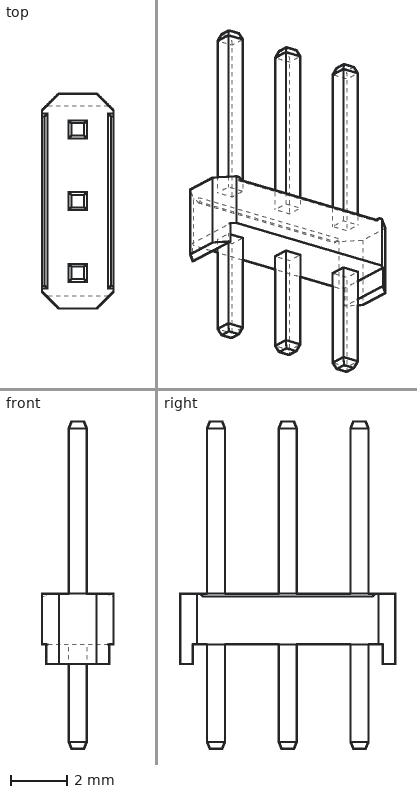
import cadquery as cq


pitch = 2.54
pin_count = 3
pin_width = 0.64
pin_below_body = 3.0
pin_above_body = 6.1
tip_length = 0.25
tip_inset = 0.1

body_width = pitch
body_length = pin_count * pitch
body_height = 2.5
corner_chamfer = 0.6

foot_height = 0.7
foot_length = 0.45

groove_depth = 0.1
groove_floor_width = 0.1
groove_floor_length = 6.0


def make_body():
    """Block with chamfered vertical corners, standing on two end feet."""
    block = (
        cq.Workplane("XY")
        .box(body_width, body_length, body_height, centered=(True, True, False))
        .edges("|Z")
        .chamfer(corner_chamfer)
    )
    foot_gap = body_length - 2 * foot_length
    underside_gap = cq.Workplane("XY").box(
        body_width, foot_gap, foot_height, centered=(True, True, False)
    )
    return block.cut(underside_gap)


def make_edge_groove(side):
    """Cutter for one top-edge groove; side is +1 or -1 along X.

    The cutter is symmetric about the side face, so only its inner half cuts.
    """
    widening = 2 * groove_depth
    floor_width = 2 * groove_floor_width
    return (
        cq.Workplane("XY", origin=(side * body_width / 2, 0, body_height - groove_depth))
        .rect(floor_width, groove_floor_length)
        .workplane(offset=groove_depth)
        .rect(floor_width + widening, groove_floor_length + widening)
        .loft(ruled=True)
    )


def make_tip():
    """Tapered pin end, wide at Z = 0 and narrow at its free end above."""
    end_width = pin_width - 2 * tip_inset
    return (
        cq.Workplane("XY")
        .rect(pin_width, pin_width)
        .workplane(offset=tip_length)
        .rect(end_width, end_width)
        .loft(ruled=True)
    )


def make_pin():
    """Square pin on the Z axis, tapered at both ends."""
    shank_bottom = tip_length - pin_below_body
    shank_top = body_height + pin_above_body - tip_length
    shank = (
        cq.Workplane("XY", origin=(0, 0, shank_bottom))
        .rect(pin_width, pin_width)
        .extrude(shank_top - shank_bottom)
    )
    upper_tip = make_tip().translate((0, 0, shank_top))
    lower_tip = make_tip().mirror("XY").translate((0, 0, shank_bottom))
    return shank.union(upper_tip).union(lower_tip)


result = make_body()

for side in (-1, 1):
    result = result.cut(make_edge_groove(side))

pin = make_pin()
for index in range(pin_count):
    pin_y = (index - (pin_count - 1) / 2) * pitch
    result = result.union(pin.translate((0, pin_y, 0)))